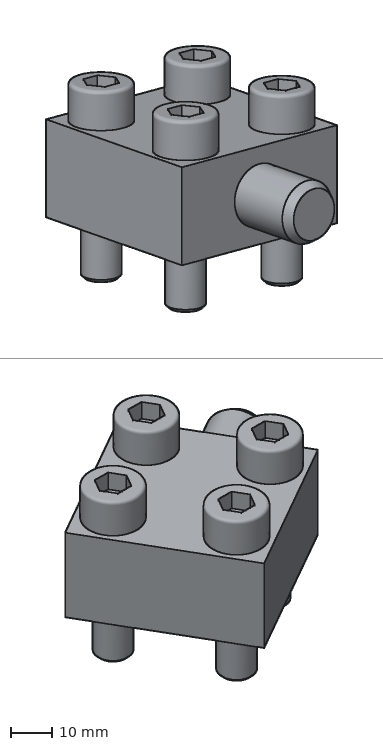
import cadquery as cq
import math

overall_length = 70.0
block_side = 50.0
block_height = 25.0
block_top = block_height / 2
block_bottom = -block_top

boss_diameter = 28.0
boss_height = 4.0

port_diameter = 16.0
port_length = overall_length - block_side
port_chamfer_length = 2.5
port_chamfer_angle = 30.0

screw_spacing = 31.0
shank_diameter = 10.0
shank_projection = 15.0
shank_chamfer = 1.0
head_diameter = 16.0
head_height = 10.0
head_fillet = 1.0
socket_across_flats = 8.0
socket_depth = 5.0


def make_boss():
    return (
        cq.Workplane("XY", origin=(0, 0, block_bottom))
        .circle(boss_diameter / 2)
        .extrude(-boss_height)
    )


def make_port():
    chamfer_depth = port_chamfer_length * math.tan(math.radians(port_chamfer_angle))
    start = block_side / 2
    end = start + port_length
    radius = port_diameter / 2
    return (
        cq.Workplane("XZ")
        .moveTo(start, 0)
        .lineTo(start, radius)
        .lineTo(end - port_chamfer_length, radius)
        .lineTo(end, radius - chamfer_depth)
        .lineTo(end, 0)
        .close()
        .revolve(360, (0, 0, 0), (1, 0, 0))
    )


def make_screw_head():
    head = (
        cq.Workplane("XY", origin=(0, 0, block_top))
        .circle(head_diameter / 2)
        .extrude(head_height)
        .faces(">Z")
        .edges()
        .fillet(head_fillet)
    )
    across_corners = socket_across_flats / math.cos(math.radians(30))
    socket = (
        cq.Workplane("XY", origin=(0, 0, block_top + head_height))
        .transformed(rotate=(0, 0, 90))
        .polygon(6, across_corners)
        .extrude(-socket_depth)
    )
    return head.cut(socket)


def make_screw_shank():
    return (
        cq.Workplane("XY", origin=(0, 0, block_bottom))
        .circle(shank_diameter / 2)
        .extrude(-shank_projection)
        .faces("<Z")
        .edges()
        .chamfer(shank_chamfer)
    )


result = cq.Workplane("XY").box(block_side, block_side, block_height)
result = result.union(make_boss()).union(make_port())

screw_head = make_screw_head()
screw_shank = make_screw_shank()
for x_side in (-1, 1):
    for y_side in (-1, 1):
        position = (x_side * screw_spacing / 2, y_side * screw_spacing / 2, 0)
        result = result.union(screw_head.translate(position))
        result = result.union(screw_shank.translate(position))